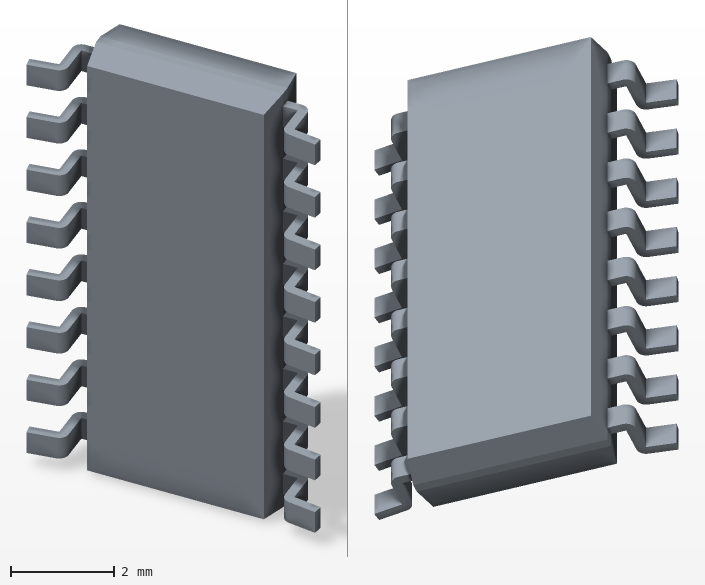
import cadquery as cq
import math

body_width = 4.0
body_length = 10.0
body_depth = 1.5
lead_thickness = 0.2
band_depth = lead_thickness
half_depth = (body_depth - band_depth) / 2
taper_inset = 0.11
taper_angle = math.degrees(math.atan(taper_inset / half_depth))

leads_per_side = 8
lead_pitch = 1.27
lead_width = 0.5
lead_span = 6.23
foot_length = 0.6
foot_tilt = 8.0
foot_drop_below_body = 0.22
lead_embed = 0.1


def make_body():
    outline = cq.Workplane("XZ").rect(body_width, body_length)
    band = outline.extrude(band_depth / 2, both=True)
    front = (
        cq.Workplane("XZ", origin=(0, -band_depth / 2, 0))
        .rect(body_width, body_length)
        .extrude(half_depth, taper=taper_angle)
    )
    back = front.mirror("XZ")
    return band.union(front).union(back)


def bend_point(center, angle):
    """Point on the outside of a bend that is sharp on its inside corner."""
    turn = math.radians(angle)
    return (
        center[0] + lead_thickness * math.cos(turn),
        center[1] + lead_thickness * math.sin(turn),
    )


def make_lead():
    """One lead on the +X side, centred on Z = 0."""
    root_x = body_width / 2 - lead_embed
    tip_x = lead_span / 2
    shank_outer_x = tip_x - foot_length
    shank_inner_x = shank_outer_x - lead_thickness
    band_back_y = band_depth / 2
    band_front_y = -band_depth / 2

    tilt = math.radians(foot_tilt)
    tip_front_x = tip_x - lead_thickness * math.sin(tilt)
    tip_front_y = band_front_y - half_depth - foot_drop_below_body
    tip_back_y = tip_front_y + lead_thickness * math.cos(tilt)

    shoulder_center = (shank_inner_x, band_front_y)
    heel_center = (shank_outer_x, tip_back_y + foot_length * math.tan(tilt))

    heel_start_angle = 180
    heel_end_angle = 270 - foot_tilt
    heel_mid_angle = (heel_start_angle + heel_end_angle) / 2

    profile = (
        cq.Workplane("XY", origin=(0, 0, -lead_width / 2))
        .moveTo(root_x, band_front_y)
        .lineTo(root_x, band_back_y)
        .lineTo(shank_inner_x, band_back_y)
        .threePointArc(bend_point(shoulder_center, 45), bend_point(shoulder_center, 0))
        .lineTo(*heel_center)
        .lineTo(tip_x, tip_back_y)
        .lineTo(tip_front_x, tip_front_y)
        .lineTo(*bend_point(heel_center, heel_end_angle))
        .threePointArc(
            bend_point(heel_center, heel_mid_angle),
            bend_point(heel_center, heel_start_angle),
        )
        .lineTo(*shoulder_center)
        .close()
    )
    return profile.extrude(lead_width)


result = make_body()
right_lead = make_lead()
left_lead = right_lead.mirror("YZ")
first_lead_z = -lead_pitch * (leads_per_side - 1) / 2
for index in range(leads_per_side):
    offset = (0, 0, first_lead_z + index * lead_pitch)
    result = result.union(right_lead.translate(offset))
    result = result.union(left_lead.translate(offset))